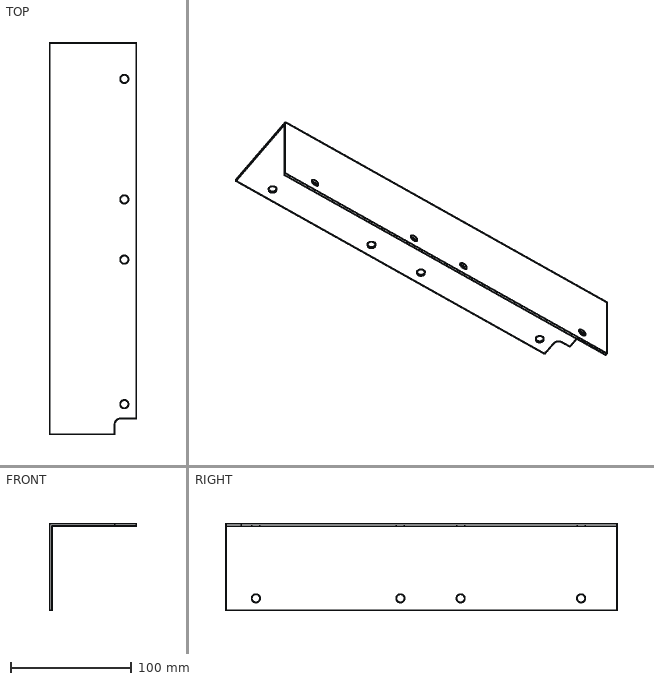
import cadquery as cq

leg_width = 72.0
length = 325.0
thickness = 2.0

notch_width = 18.0
notch_end = 13.0
notch_radius = 5.0

hole_diameter = 6.7
hole_edge_distance = 10.0
hole_distances_from_back = (30.0, 130.0, 180.0, 300.0)


def make_wall():
    """Vertical leg along the full length, with its outer face at X = 0."""
    return cq.Workplane("XY").box(thickness, length, leg_width, centered=False)


def make_top_leg():
    """Horizontal leg flush with the top and both ends of the wall."""
    return (
        cq.Workplane("XY")
        .box(leg_width, length, thickness, centered=False)
        .translate((0, 0, leg_width - thickness))
    )


def make_notch():
    """Cutter for the front free corner, with a rounded inner corner."""
    return (
        cq.Workplane("XY")
        .box(notch_width, notch_end, leg_width, centered=False)
        .edges("|Z and (<X) and (>Y)")
        .fillet(notch_radius)
        .translate((leg_width - notch_width, 0, 0))
    )


def make_holes():
    """Cutters for the row of holes near the free edge of each leg."""
    hole_ys = [length - distance for distance in hole_distances_from_back]
    top_points = [(leg_width - hole_edge_distance, y) for y in hole_ys]
    wall_points = [(y, hole_edge_distance) for y in hole_ys]
    top_holes = (
        cq.Workplane("XY", origin=(0, 0, leg_width - thickness))
        .pushPoints(top_points)
        .circle(hole_diameter / 2)
        .extrude(thickness)
    )
    wall_holes = (
        cq.Workplane("YZ")
        .pushPoints(wall_points)
        .circle(hole_diameter / 2)
        .extrude(thickness)
    )
    return top_holes, wall_holes


result = make_wall().union(make_top_leg()).cut(make_notch())
for holes in make_holes():
    result = result.cut(holes)